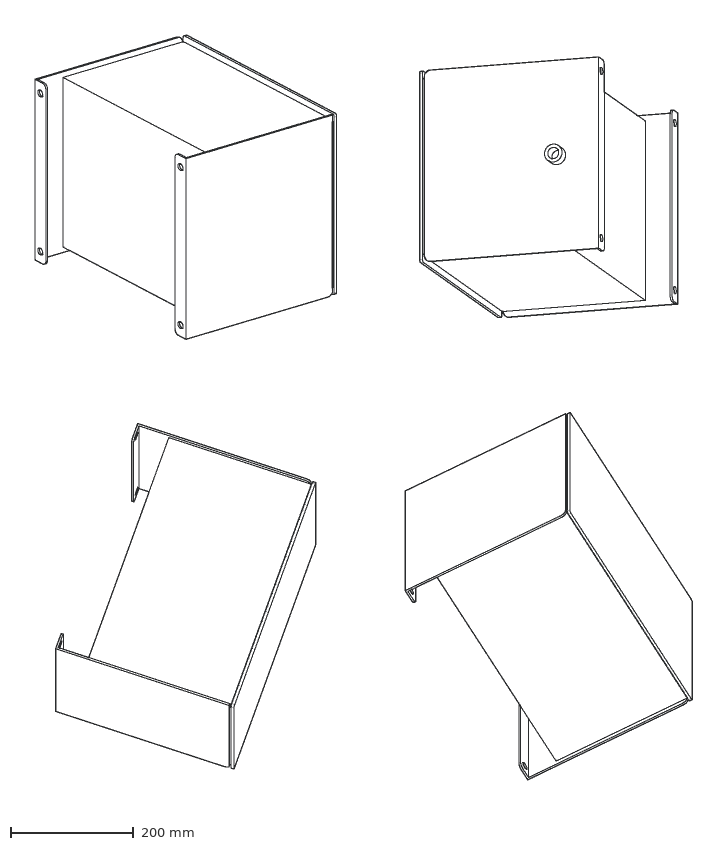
import cadquery as cq

total_length = 428.0
total_depth = 307.0
height = 320.0
boss_projection = 19.0
width = total_length - boss_projection

sheet = 3.5
flange_width = 30.0
flange_corner_radius = 8.5
slot_length = 13.3
slot_diameter = 11.0
slot_end_distance = 20.0

back_plate_thickness = 5.0
back_plate_corner_radius = 4.3
wall_back_setback = 8.0
wall_corner_radius = 10.0

body_front = 54.8
body_end_recess = 10.0
body_back_setback = 7.0
joint_side_recess = 1.5
joint_end_recess = body_end_recess + sheet

boss_diameter = 30.0
bore_diameter = 19.0
boss_front_distance = 71.5

half_width = width / 2
half_height = height / 2
inner_width = width - 2 * sheet
wall_back = total_depth - wall_back_setback
body_back = total_depth - body_back_setback
plate_front = total_depth - back_plate_thickness


def centred_box(size_x, y_start, y_end, size_z):
    """Box centred in X and Z between two Y planes."""
    depth = y_end - y_start
    return cq.Workplane("XY").box(size_x, depth, size_z).translate((0, y_start + depth / 2, 0))


def side_wall(side, rounded_edges):
    """Side sheet (-1 left, +1 right) with its chosen rear corners rounded."""
    wall = centred_box(sheet, 0, wall_back, height).edges(rounded_edges).fillet(wall_corner_radius)
    return wall.translate((side * (half_width - sheet / 2), 0, 0))


def mounting_flange(side):
    """Inward flange with rounded free corners and two mounting slots."""
    flange = centred_box(flange_width, 0, sheet, height)
    free_edges = "|Y and >X" if side < 0 else "|Y and <X"
    flange = flange.edges(free_edges).fillet(flange_corner_radius)
    slot_height = half_height - slot_end_distance
    slots = (
        cq.Workplane("XZ")
        .pushPoints([(0, -slot_height), (0, slot_height)])
        .slot2D(slot_length, slot_diameter)
        .extrude(-sheet)
    )
    return flange.cut(slots).translate((side * (half_width - flange_width / 2), 0, 0))


body = centred_box(inner_width, body_front, body_back, height - 2 * body_end_recess)
joint = centred_box(width - 2 * joint_side_recess, wall_back, plate_front, height - 2 * joint_end_recess)
back_plate = centred_box(width, plate_front, total_depth, height)
back_plate = back_plate.edges("|Y").fillet(back_plate_corner_radius)

left_wall = side_wall(-1, "|X and >Y")
right_wall = side_wall(1, "(|X and >Y) and <Z")

boss = (
    cq.Workplane("YZ", origin=(-half_width - boss_projection, boss_front_distance, 0))
    .circle(boss_diameter / 2)
    .extrude(boss_projection)
)
bore = (
    cq.Workplane("YZ", origin=(-half_width - boss_projection, boss_front_distance, 0))
    .circle(bore_diameter / 2)
    .extrude(boss_projection + sheet)
)

result = body.union(joint).union(back_plate).union(left_wall).union(right_wall)
for side in (-1, 1):
    result = result.union(mounting_flange(side))
result = result.union(boss).cut(bore)